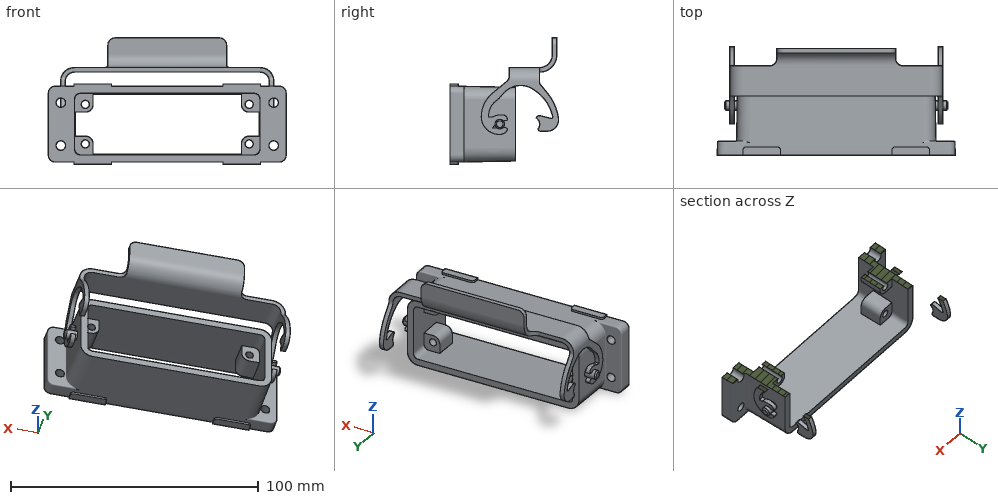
import cadquery as cq
import math


flange_length = 96.0
flange_height = 30.7
flange_depth = 5.8
flange_corner = 2.9
flange_edge_round = 0.6
straight_depth = 1.9
draft_angle = 1.0

wall = 2.9
body_length = 80.6
body_rear = 26.6
body_corner = 5.4
body_root_round = 0.3
cavity_length = body_length - 2 * wall
cavity_height = flange_height - 2 * wall
cavity_corner = body_corner - wall

mount_hole_spacing_x = 85.8
mount_hole_spacing_z = 17.3
mount_hole_diameter = 3.7

pad_height = 0.9
pad_length = 15.2
pad_depth = 3.5
pad_corner = 1.3
pad_center_x = 30.0

boss_hole_x = 33.0
boss_hole_z = 8.0
boss_hole_diameter = 3.2
boss_radius = 3.2
boss_front = 7.8
boss_rear = 17.9

pin_y = 20.2
pin_radius = 1.9
pin_tip_x = 45.0
pin_chamfer = 0.6

sheet = 1.9
lever_half_width = 43.0
lever_top = 22.8
lever_bend = 5.6
bridge_front = 23.9
bridge_rear = 36.2
leg_bottom = -4.8
claw_mouth_upper = 1.3
claw_mouth_lower = -1.4
relief_reach = 2.9
relief_drop = 1.5
relief_shoulder = 1.7

tab_width = 48.0
tab_top = 34.8
tab_corner = 3.1
tab_flare = 2.9
tab_bend_inner = 5.1


def facing_rear(y):
    """Workplane at depth y that extrudes toward the rear."""
    return cq.Workplane(cq.Plane(origin=(0, y, 0), xDir=(1, 0, 0), normal=(0, 1, 0)))


def rounded_block(length, height, corner, front, rear, taper=0.0):
    """Block between two depths with rounded long edges, narrowing rearward by the taper angle."""
    outline = cq.Sketch().rect(length, height).vertices().fillet(corner)
    return facing_rear(front).placeSketch(outline).extrude(rear - front, taper=taper)


def drafted_block(length, height, corner, rear):
    """Block with a straight land at the mounting face and drafted sides behind it."""
    land = rounded_block(length, height, corner, 0, straight_depth)
    drafted = rounded_block(length, height, corner, straight_depth, rear, draft_angle)
    return land.union(drafted)


def round_body_root(shell):
    """Round the corners where the body ends rise from the rear face of the flange."""
    reach = body_length / 2 + flange_edge_round
    margin = 0.1
    near_root = cq.selectors.BoxSelector(
        (-reach, flange_depth - margin, -flange_height),
        (reach, flange_depth + margin, flange_height),
    )
    return shell.edges(near_root).edges("|Z").fillet(body_root_round)


def make_shell():
    flange = drafted_block(flange_length, flange_height, flange_corner, flange_depth)
    flange = flange.faces(">Y").edges().fillet(flange_edge_round)
    body = drafted_block(body_length, flange_height, body_corner, body_rear)
    cavity = drafted_block(cavity_length, cavity_height, cavity_corner, body_rear)
    shell = round_body_root(flange.union(body))
    return shell.cut(cavity)


def make_mount_holes():
    return (
        facing_rear(0)
        .rect(mount_hole_spacing_x, mount_hole_spacing_z, forConstruction=True)
        .vertices()
        .circle(mount_hole_diameter / 2)
        .extrude(flange_depth)
    )


def make_pads():
    """Four thin pads at the front of the long flange sides, rounded at their rear corners."""
    pads = cq.Workplane("XY")
    span = flange_height + 2 * pad_height
    for x in (-pad_center_x, pad_center_x):
        bar = (
            cq.Workplane("XY")
            .box(pad_length, pad_depth, span)
            .edges("|Z and >Y")
            .fillet(pad_corner)
            .translate((x, pad_depth / 2, 0))
        )
        pads = pads.add(bar)
    core = cq.Workplane("XY").box(flange_length, 2 * pad_depth, cavity_height + wall)
    return pads.combine().cut(core)


def make_bosses():
    """Four screw bosses in the cavity corners, each rounded about its own hole."""
    inner_x = boss_hole_x - boss_radius
    inner_z = boss_hole_z - boss_radius
    outer_x = cavity_length / 2 + wall / 2
    outer_z = cavity_height / 2 + wall / 2
    boss = (
        facing_rear(boss_front)
        .center((inner_x + outer_x) / 2, -(inner_z + outer_z) / 2)
        .rect(outer_x - inner_x, outer_z - inner_z)
        .extrude(boss_rear - boss_front)
        .edges("|Y and <X and <Z")
        .fillet(boss_radius)
    )
    hole = (
        facing_rear(boss_front)
        .center(boss_hole_x, -boss_hole_z)
        .circle(boss_hole_diameter / 2)
        .extrude(boss_rear - boss_front)
    )
    limit = rounded_block(
        body_length - wall, flange_height - wall, body_corner - wall / 2, boss_front, boss_rear
    )
    boss = boss.intersect(limit).cut(hole)
    right = boss.union(boss.mirror("XY"))
    return right.union(right.mirror("YZ"))


def make_pins():
    """Pivot pins on both ends of the body."""
    root_x = body_length / 2 - wall / 2
    pin = (
        cq.Workplane("YZ", origin=(root_x, pin_y, 0))
        .circle(pin_radius)
        .extrude(pin_tip_x - root_x)
        .faces(">X")
        .chamfer(pin_chamfer)
    )
    return pin.union(pin.mirror("YZ"))


def make_housing():
    return (
        make_shell()
        .union(make_pads())
        .union(make_bosses())
        .union(make_pins())
        .cut(make_mount_holes())
    )


def make_bent_sheet():
    """Sheet bent to an inverted U, wide enough in Y to hold the whole lever."""
    height = lever_top - leg_bottom
    depth = 2 * bridge_rear

    def arch(inset):
        radius = lever_bend - inset
        return (
            cq.Workplane("XY")
            .box(2 * (lever_half_width - inset), depth, height)
            .edges("|Y and >Z")
            .fillet(radius)
            .translate((0, depth / 2, leg_bottom + height / 2 - inset))
        )

    return arch(0).cut(arch(sheet))


def make_side_outline():
    """Lever seen along X: bridge, pivot claw at the front and latch hook at the rear."""
    outline = (
        cq.Workplane("YZ", origin=(-lever_half_width, 0, 0))
        .moveTo(bridge_front, lever_top)
        .lineTo(bridge_front, 19.0)
        .threePointArc((23.6, 18.0), (22.9, 17.3))
        .lineTo(17.1, 12.4)
        .threePointArc((13.9, 8.3), (12.7, 3.1))
        .threePointArc((14.8, -2.0), (19.7, -4.1))
        .threePointArc((21.8, -3.7), (23.1, -2.5))
        .threePointArc((23.0, -1.7), (22.4, claw_mouth_lower))
        .lineTo(pin_y, claw_mouth_lower)
        .lineTo(pin_y, claw_mouth_upper)
        .lineTo(21.9, claw_mouth_upper)
        .lineTo(23.2, 1.6)
        .threePointArc((22.8, 3.1), (21.3, 3.7))
        .threePointArc((19.4, 3.6), (17.2, 2.9))
        .lineTo(15.6, 2.8)
        .threePointArc((16.3, 6.4), (19.2, 9.8))
        .lineTo(22.6, 13.3)
        .threePointArc((28.6, 15.6), (34.2, 13.6))
        .threePointArc((38.9, 9.0), (41.4, 3.4))
        .threePointArc((41.4, 2.7), (40.9, 2.3))
        .lineTo(36.5, 3.5)
        .threePointArc((35.4, 3.3), (34.8, 2.5))
        .threePointArc((36.1, 0.8), (35.6, -1.8))
        .threePointArc((35.9, -2.6), (36.7, -2.9))
        .lineTo(39.6, -2.9)
        .threePointArc((42.6, -1.4), (43.9, 2.4))
        .threePointArc((42.5, 7.3), (39.7, 12.1))
        .lineTo(37.2, 15.3)
        .threePointArc((36.4, 16.3), (bridge_rear, 17.5))
        .lineTo(bridge_rear, lever_top)
        .close()
    )
    return outline.extrude(2 * lever_half_width)


def make_pivot_clearance():
    """Round seat for the pin and the small relief notch in front of it, through both legs."""
    across = cq.Workplane("YZ", origin=(-lever_half_width, pin_y, 0))
    seat = across.circle(pin_radius).extrude(2 * lever_half_width)
    relief_corners = [(0, -relief_drop), (-relief_reach, -relief_drop), (-relief_shoulder, 0)]
    relief = across.polyline(relief_corners).close()
    return seat.union(relief.extrude(2 * lever_half_width))


def make_tab():
    """Handle tab curving up from the rear of the bridge, flared where it leaves the bridge."""
    outer_bend = tab_bend_inner + sheet
    bend_z = lever_top + tab_bend_inner
    front_y = bridge_rear + tab_bend_inner
    slope = math.sqrt(0.5)
    half_width = tab_width / 2
    half_root = half_width + tab_flare

    sheet_profile = (
        cq.Workplane("YZ", origin=(-half_root, 0, 0))
        .moveTo(bridge_rear, lever_top)
        .threePointArc(
            (bridge_rear + tab_bend_inner * slope, bend_z - tab_bend_inner * slope),
            (front_y, bend_z),
        )
        .lineTo(front_y, tab_top)
        .lineTo(front_y + sheet, tab_top)
        .lineTo(front_y + sheet, bend_z)
        .threePointArc(
            (bridge_rear + outer_bend * slope, bend_z - outer_bend * slope),
            (bridge_rear, lever_top - sheet),
        )
        .close()
        .extrude(2 * half_root)
    )
    flare_y = bridge_rear + tab_flare
    flare_x = half_root - tab_flare * slope
    flare_mid_y = flare_y - tab_flare * slope
    plan = (
        cq.Workplane("XY", origin=(0, 0, lever_top - sheet))
        .moveTo(-half_root, bridge_rear)
        .threePointArc((-flare_x, flare_mid_y), (-half_width, flare_y))
        .lineTo(-half_width, front_y + sheet)
        .lineTo(half_width, front_y + sheet)
        .lineTo(half_width, flare_y)
        .threePointArc((flare_x, flare_mid_y), (half_root, bridge_rear))
        .close()
        .extrude(tab_top - lever_top + sheet)
    )
    return sheet_profile.intersect(plan).edges("|Y and >Z").fillet(tab_corner)


def make_lever():
    strap = make_bent_sheet().intersect(make_side_outline()).cut(make_pivot_clearance())
    return strap.union(make_tab())


housing = make_housing()
lever = make_lever()

result = cq.Compound.makeCompound([housing.val(), lever.val()])